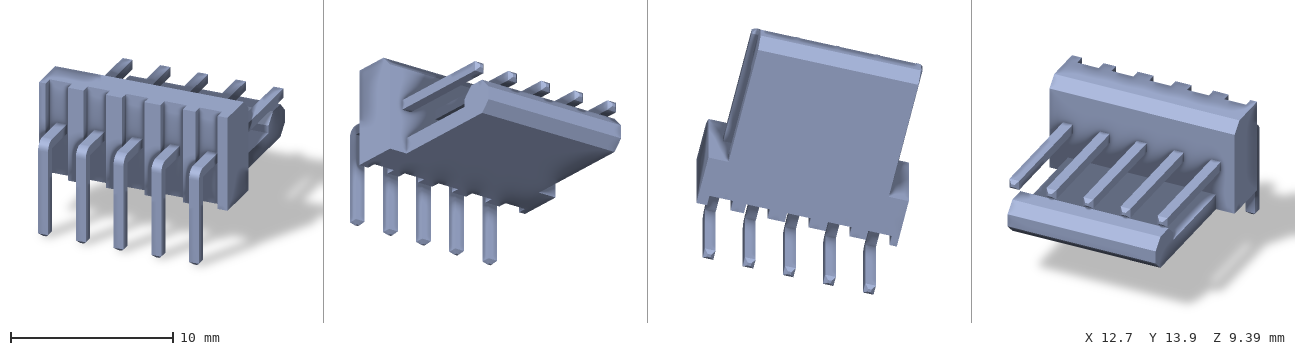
import cadquery as cq
import math


body_width = 12.7
body_depth = 3.175
body_height = body_width / 2
edge_chamfer = 0.68

groove_width = 1.5
groove_depth = 0.63
last_groove_depth = 0.66
groove_centers = (-5.14, -2.59, 0.0, 2.59, 4.93)

pin_count = 5
pin_pitch = 2.54
pin_width = 0.67
pin_thickness = 0.635
pin_center_z = body_height / 2
pin_reach = 7.75
pin_overhang = 2.245
leg_drop = 3.04
tip_chamfer = 0.22

tongue_width = (pin_count - 1) * pin_pitch
tongue_length = 8.5
tongue_thickness = 1.04
lug_length = 2.5
lug_height = 1.19


def extrude_profile(points, width):
    """Extrude a closed (y, z) outline, centred on X = 0."""
    return cq.Workplane("YZ").polyline(points).close().extrude(width / 2, both=True)


def make_body():
    body = (
        cq.Workplane("XY")
        .box(body_width, body_depth, body_height, centered=(True, False, False))
        .faces(">Y").edges(">Z").chamfer(edge_chamfer)
    )
    for center_x in groove_centers:
        is_last = center_x == groove_centers[-1]
        depth = last_groove_depth if is_last else groove_depth
        groove = (
            cq.Workplane("XY")
            .box(groove_width, depth, body_height, centered=(True, False, False))
            .translate((center_x, 0, 0))
        )
        body = body.cut(groove)
    return body


def make_tongue():
    """Flat tongue with a bevelled lower tip, starting at the +Y housing face."""
    end_y = body_depth + tongue_length
    return extrude_profile(
        [
            (body_depth, 0),
            (end_y - edge_chamfer, 0),
            (end_y, edge_chamfer),
            (end_y, tongue_thickness),
            (body_depth, tongue_thickness),
        ],
        tongue_width,
    )


def make_lug():
    """Raised locking lug, bevelled on both upper edges."""
    end_y = body_depth + tongue_length
    start_y = end_y - lug_length
    top_z = tongue_thickness + lug_height
    return extrude_profile(
        [
            (start_y, tongue_thickness),
            (end_y, tongue_thickness),
            (end_y, top_z - edge_chamfer),
            (end_y - edge_chamfer, top_z),
            (start_y + edge_chamfer, top_z),
            (start_y, top_z - edge_chamfer),
        ],
        tongue_width,
    )


def make_pin():
    """L-shaped pin at X = 0: sharp inner corner, round outer bend, tapered tips."""
    tip_y = body_depth + pin_reach
    outer_y = -pin_overhang
    inner_y = outer_y + pin_thickness
    top_z = pin_center_z + pin_thickness / 2
    bottom_z = top_z - pin_thickness
    diagonal = pin_thickness * math.sqrt(0.5)
    return (
        cq.Workplane("YZ")
        .moveTo(tip_y, top_z)
        .lineTo(inner_y, top_z)
        .threePointArc((inner_y - diagonal, bottom_z + diagonal), (outer_y, bottom_z))
        .lineTo(outer_y, -leg_drop)
        .lineTo(inner_y, -leg_drop)
        .lineTo(inner_y, bottom_z)
        .lineTo(tip_y, bottom_z)
        .close()
        .extrude(pin_width / 2, both=True)
        .faces(">Y").chamfer(tip_chamfer)
        .faces("<Z").chamfer(tip_chamfer)
    )


result = make_body().union(make_tongue()).union(make_lug())
pin = make_pin()
for index in range(pin_count):
    pin_x = (index - (pin_count - 1) / 2) * pin_pitch
    result = result.union(pin.translate((pin_x, 0, 0)))